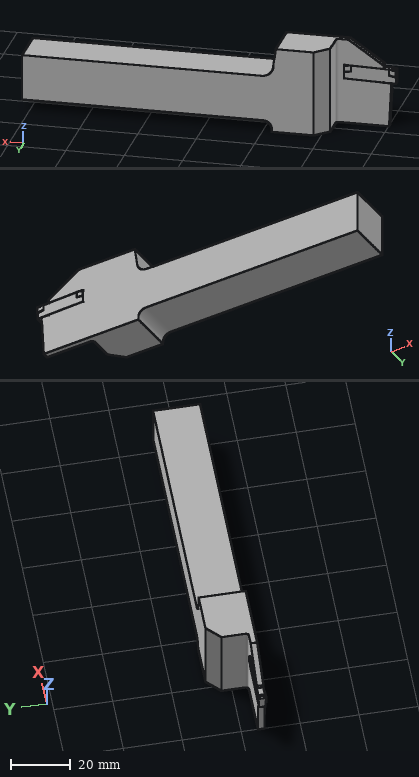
import cadquery as cq
import math

total_length = 125
head_height = 29.9
shank_size = 16.0
shank_bottom = 3.9
shank_top = shank_bottom + shank_size

head_top_front_x = 16.1
head_top_back_x = 38.0
head_back_x = 39.4
head_bottom_front_x = 2.4
front_relief_angle = 3
nose_x = 4.2
nose_top = 21.8
upper_shank_fillet = 3.9
lower_shank_fillet = 3.0

blade_thickness = 2.2
blade_length_end = 20.4
shoulder_chamfer = 4.6
shoulder_fillet = 1.0

insert_length = 17.8
insert_bottom_front = 15.5
insert_top_front = 20.4
insert_rise = 0.4
rake_land_length = 1.0
rake_step_length = 0.4
rake_step_depth = 0.2

cutter_length = 2.4
cutter_overhang = 0.2
cutter_inner_overhang = 0.1
cutter_height = 2.1
cutter_flank_drop = 0.4


def extrude_y(points, y_start, y_end):
    """Extrude a closed XZ outline between two Y positions."""
    outline = cq.Workplane("XZ", origin=(0, y_start, 0)).polyline(points).close()
    return outline.extrude(y_start - y_end)


def insert_line(x, front_z):
    """Height at x of a line that climbs along the insert."""
    return front_z + insert_rise * x / insert_length


def make_head_and_shank():
    front_lean = math.tan(math.radians(front_relief_angle))
    seat_front_x = head_bottom_front_x - insert_bottom_front * front_lean
    outline = [
        (head_bottom_front_x, 0),
        (head_back_x, 0),
        (head_back_x, shank_bottom),
        (total_length, shank_bottom),
        (total_length, shank_top),
        (head_back_x, shank_top),
        (head_top_back_x, head_height),
        (head_top_front_x, head_height),
        (nose_x, nose_top),
        (nose_x, insert_bottom_front),
        (seat_front_x, insert_bottom_front),
    ]
    body = extrude_y(outline, 0, shank_size)
    for corner_z, radius in ((shank_bottom, lower_shank_fillet), (shank_top, upper_shank_fillet)):
        corner = cq.selectors.NearestToPointSelector((head_back_x, shank_size / 2, corner_z))
        body = body.edges(corner).fillet(radius)
    return body


def make_blade_relief():
    """Space beside the blade, bounded by a chamfered and filleted shoulder."""
    return (
        cq.Workplane("XY")
        .moveTo(0, blade_thickness)
        .lineTo(blade_length_end - shoulder_fillet, blade_thickness)
        .radiusArc((blade_length_end, blade_thickness + shoulder_fillet), -shoulder_fillet)
        .lineTo(blade_length_end, shank_size - shoulder_chamfer)
        .lineTo(blade_length_end + shoulder_chamfer, shank_size)
        .lineTo(0, shank_size)
        .close()
        .extrude(head_height)
    )


def make_insert_seat():
    outline = [
        (0, insert_bottom_front),
        (insert_length, insert_line(insert_length, insert_bottom_front)),
        (insert_length, insert_line(insert_length, insert_top_front)),
        (0, insert_top_front),
    ]
    return extrude_y(outline, 0, blade_thickness)


def make_holder():
    return make_head_and_shank().cut(make_blade_relief()).cut(make_insert_seat())


def from_end(distance, at_back):
    """X position at a distance inward from one end of the insert."""
    return insert_length - distance if at_back else distance


def make_cutter(at_back):
    """Wide cutting head that narrows in plan away from its cutting edge."""
    edge_x = from_end(0, at_back)
    inner_x = from_end(cutter_length, at_back)
    edge_top = insert_line(edge_x, insert_top_front)
    inner_top = insert_line(inner_x, insert_top_front)
    side_outline = [
        (edge_x, edge_top),
        (inner_x, inner_top),
        (inner_x, inner_top - cutter_height),
        (edge_x, edge_top - cutter_height - cutter_flank_drop),
    ]
    y_low = -cutter_overhang
    y_high = blade_thickness + cutter_overhang
    plan_outline = [
        (edge_x, y_low),
        (inner_x, -cutter_inner_overhang),
        (inner_x, blade_thickness + cutter_inner_overhang),
        (edge_x, y_high),
    ]
    plan = cq.Workplane("XY").polyline(plan_outline).close().extrude(head_height)
    return extrude_y(side_outline, y_low, y_high).intersect(plan)


def make_rake_step(at_back):
    """Shallow step cut into the top of the insert behind a cutting edge."""
    edge_x = from_end(0, at_back)
    land_x = from_end(rake_land_length, at_back)
    step_x = from_end(rake_land_length + rake_step_length, at_back)
    outline = [
        (edge_x, insert_line(edge_x, insert_top_front)),
        (step_x, insert_line(step_x, insert_top_front)),
        (land_x, insert_line(land_x, insert_top_front) - rake_step_depth),
        (edge_x, insert_line(edge_x, insert_top_front) - rake_step_depth),
    ]
    return extrude_y(outline, -cutter_overhang, blade_thickness + cutter_overhang)


def make_insert():
    insert = make_insert_seat()
    for at_back in (False, True):
        insert = insert.union(make_cutter(at_back)).cut(make_rake_step(at_back))
    return insert


holder = make_holder()
cutting_insert = make_insert()

result = cq.Compound.makeCompound([holder.solids().val(), cutting_insert.solids().val()])